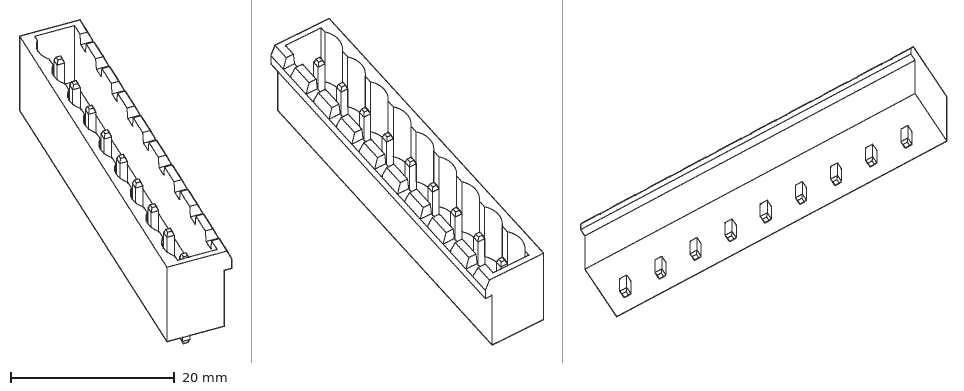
import cadquery as cq
import math

POLE_COUNT = 9
PITCH = 5.0
END_MARGIN = 3.5

LENGTH = (POLE_COUNT - 1) * PITCH + 2 * END_MARGIN
DEPTH = 7.6
HEIGHT = 12.0

LEDGE_OVERHANG = 1.0
LEDGE_BOTTOM = 9.0
BEVEL_DEPTH = 0.6
BEVEL_HEIGHT = 1.5
REAR_Y = DEPTH + LEDGE_OVERHANG

END_WALL = 0.75
FRONT_WALL = 1.7
CAVITY_REAR_Y = 6.95
FLOOR_THICKNESS = 3.0
SCALLOP_RADIUS = 3.0
SCALLOP_CENTER_Y = 4.0

NOTCH_DEPTH = 1.5
NOTCH_TOP_WIDTH = 2.0
NOTCH_BOTTOM_WIDTH = 1.5

PIN_SIZE = 1.0
PIN_TIP_SIZE = 0.6
PIN_TIP_LENGTH = 0.6
PIN_Y = 3.8
PIN_BOTTOM = -4.0
PIN_TOP = 10.0

POLE_XS = [(i - (POLE_COUNT - 1) / 2) * PITCH for i in range(POLE_COUNT)]


def make_housing():
    """Solid block with the bevelled ledge, extruded along X."""
    profile = [
        (0, 0),
        (DEPTH, 0),
        (DEPTH, LEDGE_BOTTOM),
        (REAR_Y, LEDGE_BOTTOM),
        (REAR_Y, HEIGHT - BEVEL_HEIGHT),
        (REAR_Y - BEVEL_DEPTH, HEIGHT),
        (0, HEIGHT),
    ]
    return cq.Workplane("YZ").polyline(profile).close().extrude(LENGTH / 2, both=True)


def make_cavity():
    """Cavity whose front wall is scalloped by one arc per pole."""
    half_length = LENGTH / 2 - END_WALL
    half_chord = math.sqrt(SCALLOP_RADIUS**2 - (SCALLOP_CENTER_Y - FRONT_WALL) ** 2)
    outline = (
        cq.Workplane("XY", origin=(0, 0, FLOOR_THICKNESS))
        .moveTo(-half_length, CAVITY_REAR_Y)
        .lineTo(-half_length, FRONT_WALL)
    )
    for x in POLE_XS:
        outline = outline.lineTo(x - half_chord, FRONT_WALL).threePointArc(
            (x, SCALLOP_CENTER_Y - SCALLOP_RADIUS),
            (x + half_chord, FRONT_WALL),
        )
    outline = outline.lineTo(half_length, FRONT_WALL).lineTo(half_length, CAVITY_REAR_Y)
    return outline.close().extrude(HEIGHT - FLOOR_THICKNESS)


def make_notch(x):
    """Trapezoidal notch from the cavity out through the rear wall."""
    profile = [
        (x - NOTCH_TOP_WIDTH / 2, HEIGHT),
        (x - NOTCH_BOTTOM_WIDTH / 2, HEIGHT - NOTCH_DEPTH),
        (x + NOTCH_BOTTOM_WIDTH / 2, HEIGHT - NOTCH_DEPTH),
        (x + NOTCH_TOP_WIDTH / 2, HEIGHT),
    ]
    return (
        cq.Workplane("XZ", origin=(0, CAVITY_REAR_Y, 0))
        .polyline(profile)
        .close()
        .extrude(CAVITY_REAR_Y - REAR_Y)
    )


def make_pin(x):
    """Square pin, tapered to a smaller square at both ends."""
    shank_length = PIN_TOP - PIN_BOTTOM - 2 * PIN_TIP_LENGTH
    shank = (
        cq.Workplane("XY", origin=(x, PIN_Y, PIN_BOTTOM + PIN_TIP_LENGTH))
        .rect(PIN_SIZE, PIN_SIZE)
        .extrude(shank_length)
    )
    for face in (">Z", "<Z"):
        tip = (
            shank.faces(face)
            .workplane(centerOption="CenterOfMass")
            .rect(PIN_SIZE, PIN_SIZE)
            .workplane(offset=PIN_TIP_LENGTH)
            .rect(PIN_TIP_SIZE, PIN_TIP_SIZE)
            .loft(combine=False)
        )
        shank = shank.union(tip)
    return shank


result = make_housing().cut(make_cavity())
for pole_x in POLE_XS:
    result = result.cut(make_notch(pole_x)).union(make_pin(pole_x))